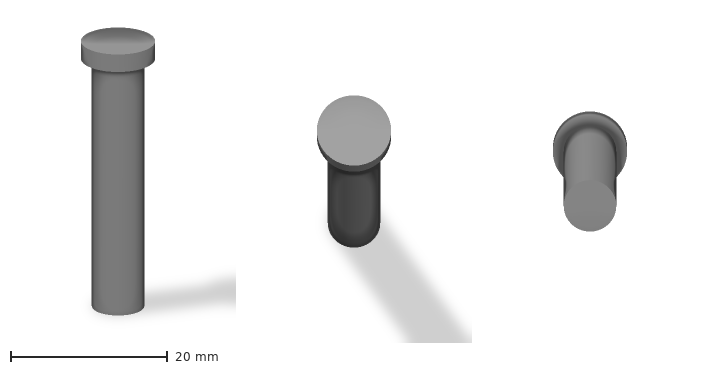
import cadquery as cq

HEAD_DIAMETER = 9.49
SHANK_DIAMETER = 6.71
TOTAL_LENGTH = 36.3
HEAD_THICKNESS = 2.4
SHANK_LENGTH = TOTAL_LENGTH - HEAD_THICKNESS


def make_shank():
    """Plain cylindrical shank below the head."""
    return cq.Workplane("XY").circle(SHANK_DIAMETER / 2).extrude(SHANK_LENGTH)


def make_head():
    """Flat disc head on top of the shank."""
    return (
        cq.Workplane("XY")
        .workplane(offset=SHANK_LENGTH)
        .circle(HEAD_DIAMETER / 2)
        .extrude(HEAD_THICKNESS)
    )


result = make_shank().union(make_head())